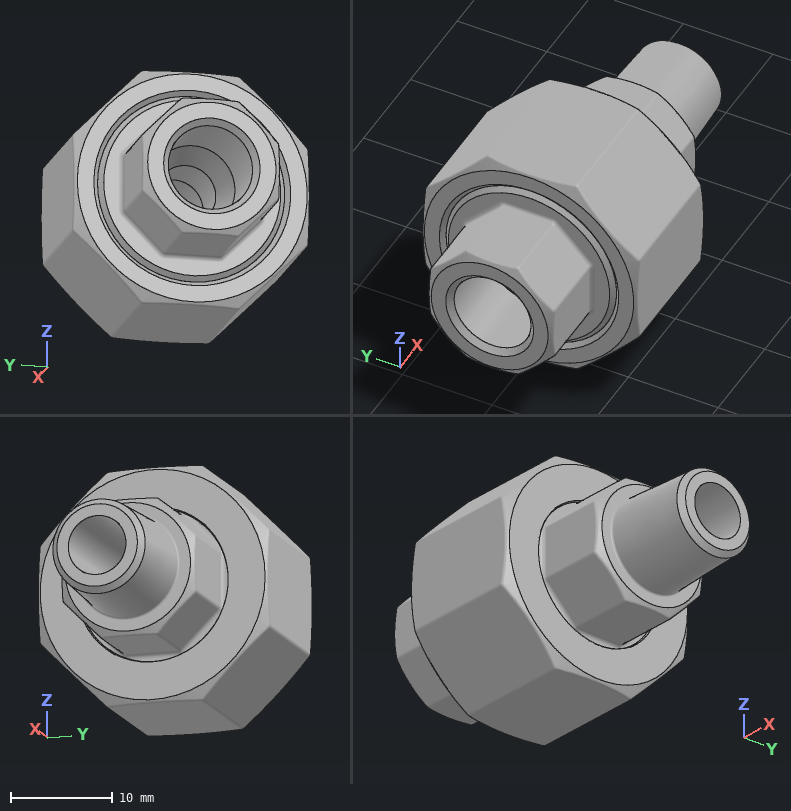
import cadquery as cq
import math


nut_start = 8.4
joint = 16.4
collar_end = 19.7
neck_end = 22.75
nut_end = 23.05
spud_octagon_end = 31.08
total_length = 41.0

nut_across_flats = 24.0
nut_face_diameter = 23.35
end_across_flats = 13.95
end_face_diameter = 13.05
bevel_edge_radius = 0.33
bevel_angle = 30.0
edge_radius = 0.5
octagon_sides = 8
tolerance = 0.02

bore_diameter = 6.0
socket_diameter = 8.55
socket_mouth_diameter = 9.8
socket_depth = 8.2
cone_angle = 50.0
thread_diameter = 19.02
thread_tip_diameter = 18.0

collar_diameter = 18.35
neck_diameter = 15.5
pipe_root_diameter = 10.4
pipe_tip_diameter = 9.6
pipe_root_radius = 0.25
pipe_chamfer = 0.6

nut_mouth_diameter = 20.0
nut_hole_diameter = 15.7


def turned(*stations):
    """Solid of revolution about X; each station is (x, diameter)."""
    outline = [(x, diameter / 2) for x, diameter in stations]
    outline = [(stations[0][0], 0)] + outline + [(stations[-1][0], 0)]
    return cq.Workplane("XY").polyline(outline).close().revolve(360, (0, 0, 0), (1, 0, 0))


def cylinder(x_start, x_end, diameter):
    return turned((x_start, diameter), (x_end, diameter))


def octagon_bar(x_start, x_end, across_flats, face_diameter, bevel_start, bevel_end):
    """Octagonal bar along X, bevelled by a cone on the chosen ends, with its edges rounded."""
    half_side_angle = 180 / octagon_sides
    across_corners = across_flats / math.cos(math.radians(half_side_angle))
    bevel_depth = (across_corners - face_diameter) / 2 * math.tan(math.radians(bevel_angle))
    bar = (
        cq.Workplane("YZ")
        .workplane(offset=x_start)
        .transformed(rotate=(0, 0, half_side_angle))
        .polygon(octagon_sides, across_corners)
        .extrude(x_end - x_start)
        .edges("|X")
        .fillet(edge_radius)
    )

    stations = [(x_start, across_corners), (x_end, across_corners)]
    if bevel_start:
        stations[:1] = [(x_start, face_diameter), (x_start + bevel_depth, across_corners)]
    if bevel_end:
        stations[-1:] = [(x_end - bevel_depth, across_corners), (x_end, face_diameter)]
    bar = bar.intersect(turned(*stations))

    rims = [
        edge for edge in bar.edges().vals()
        if edge.geomType() != "LINE"
        and x_start + tolerance < edge.Center().x < x_end - tolerance
    ]
    return cq.Workplane(bar.val().fillet(bevel_edge_radius, rims))


def in_plane(body, x):
    """Edges of the body that lie wholly in the plane at x."""
    return [
        edge for edge in body.edges().vals()
        if edge.BoundingBox().xlen < tolerance and abs(edge.Center().x - x) < tolerance
    ]


def round_octagon_root(body, x_root):
    """Fillet the joint between an octagon and the round flange face at x_root."""
    root = [edge for edge in in_plane(body, x_root) if edge.Length() < end_across_flats]
    return cq.Workplane(body.val().fillet(edge_radius, root))


def make_socket_body():
    thread_chamfer = (thread_diameter - thread_tip_diameter) / 2
    flange = turned(
        (nut_start, thread_tip_diameter),
        (nut_start + thread_chamfer, thread_diameter),
        (joint, thread_diameter),
    )
    octagon = octagon_bar(0, nut_start, end_across_flats, end_face_diameter, True, False)
    body = round_octagon_root(octagon.union(flange), nut_start)

    mouth_depth = (socket_mouth_diameter - socket_diameter) / 2
    cone_slope = math.tan(math.radians(cone_angle / 2))
    cone_depth = (socket_diameter - bore_diameter) / 2 / cone_slope
    socket = turned(
        (0, socket_mouth_diameter),
        (mouth_depth, socket_diameter),
        (socket_depth, socket_diameter),
        (socket_depth + cone_depth, bore_diameter),
        (joint, bore_diameter),
    )
    return body.cut(socket).solids()


def make_spud():
    octagon = octagon_bar(neck_end, spud_octagon_end, end_across_flats, end_face_diameter, False, True)
    flange = cylinder(collar_end, neck_end, collar_diameter)
    body = round_octagon_root(octagon.union(flange), neck_end)
    body = body.intersect(cylinder(collar_end, spud_octagon_end, neck_diameter))

    collar = cylinder(joint, collar_end, collar_diameter)
    pipe = turned(
        (spud_octagon_end, pipe_root_diameter),
        (total_length - pipe_chamfer, pipe_tip_diameter),
        (total_length, pipe_tip_diameter - 2 * pipe_chamfer),
    )
    body = body.union(collar).union(pipe)

    pipe_root = [
        edge for edge in in_plane(body, spud_octagon_end)
        if edge.geomType() == "CIRCLE" and abs(edge.radius() - pipe_root_diameter / 2) < tolerance
    ]
    body = cq.Workplane(body.val().fillet(pipe_root_radius, pipe_root))
    return body.cut(cylinder(joint, total_length, bore_diameter)).solids()


def make_nut():
    nut = octagon_bar(nut_start, nut_end, nut_across_flats, nut_face_diameter, True, True)
    mouth_depth = (nut_mouth_diameter - thread_diameter) / 2
    cavity = turned(
        (nut_start, nut_mouth_diameter),
        (nut_start + mouth_depth, thread_diameter),
        (collar_end, thread_diameter),
    )
    return nut.cut(cavity).cut(cylinder(collar_end, nut_end, nut_hole_diameter)).solids()


socket_body = make_socket_body()
spud = make_spud()
nut = make_nut()

result = cq.Compound.makeCompound([socket_body.val(), spud.val(), nut.val()])